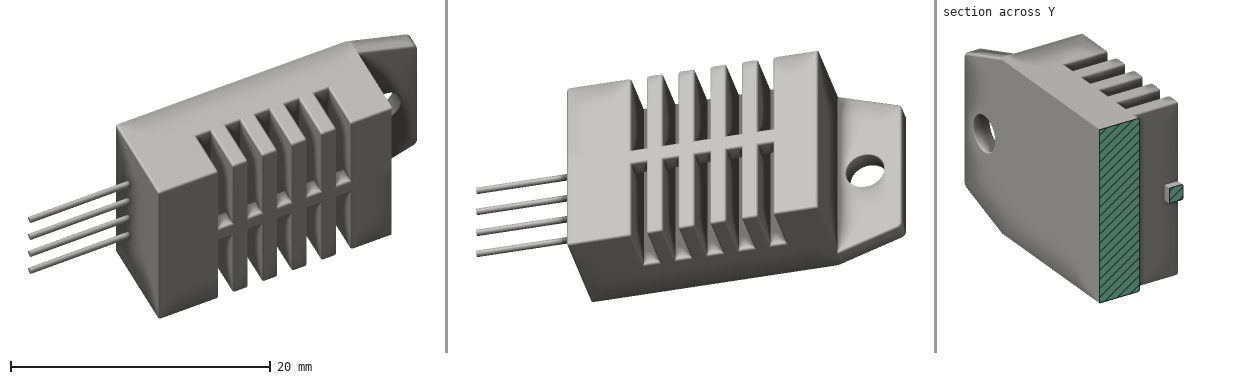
import cadquery as cq

HOUSING_DEPTH = 7.7
HOUSING_LENGTH = 20.0
HOUSING_HEIGHT = 15.1
EDGE_RADIUS = 0.2

TAB_LENGTH = 5.1
TAB_THICKNESS = 1.5
TAB_END_HEIGHT = 11.55
TAB_CORNER_RADIUS = 0.5
MOUNT_HOLE_DIAMETER = 3.02
MOUNT_HOLE_EDGE_RADIUS = 0.1
MOUNT_HOLE_END_DISTANCE = 2.92

SLOT_COUNT = 5
SLOT_PITCH = 2.52
SLOT_WIDTH = 1.2
SLOT_FLOOR_X = 3.7
FIRST_SLOT_END_DISTANCE = 4.15

BAR_DEPTH = 1.3
BAR_HEIGHT = 1.35

PIN_COUNT = 4
PIN_PITCH = 2.0
PIN_DIAMETER = 0.5
PIN_LENGTH = 8.5
PIN_X = 2.35

TAB_END_Y = HOUSING_LENGTH + TAB_LENGTH
HALF_HEIGHT = HOUSING_HEIGHT / 2
SLOT_DEPTH = HOUSING_DEPTH - SLOT_FLOOR_X
MOUNT_HOLE_Y = TAB_END_Y - MOUNT_HOLE_END_DISTANCE

SELECTION_MARGIN = 0.05


def make_block():
    return cq.Workplane("XY").box(
        HOUSING_DEPTH, HOUSING_LENGTH, HOUSING_HEIGHT, centered=(False, False, True)
    )


def make_tab():
    """Tapered plate with rounded corners at its free end."""
    half_end = TAB_END_HEIGHT / 2
    return (
        cq.Workplane("YZ")
        .moveTo(HOUSING_LENGTH, -HALF_HEIGHT)
        .lineTo(TAB_END_Y, -half_end)
        .lineTo(TAB_END_Y, half_end)
        .lineTo(HOUSING_LENGTH, HALF_HEIGHT)
        .close()
        .extrude(TAB_THICKNESS)
        .faces(">Y")
        .edges("|X")
        .fillet(TAB_CORNER_RADIUS)
    )


def cut_mount_hole(body):
    """Drill through the tab and round both rims of the hole."""
    hole = (
        cq.Workplane("YZ")
        .center(MOUNT_HOLE_Y, 0)
        .circle(MOUNT_HOLE_DIAMETER / 2)
        .extrude(TAB_THICKNESS)
    )
    zone_radius = MOUNT_HOLE_DIAMETER / 2 + SELECTION_MARGIN
    hole_zone = cq.selectors.BoxSelector(
        (-SELECTION_MARGIN, MOUNT_HOLE_Y - zone_radius, -zone_radius),
        (TAB_THICKNESS + SELECTION_MARGIN, MOUNT_HOLE_Y + zone_radius, zone_radius),
        boundingbox=True,
    )
    return body.cut(hole).edges(hole_zone).fillet(MOUNT_HOLE_EDGE_RADIUS)


def cut_slots(body):
    """Cut each slot through the full height, leaving the middle bar in place."""
    bar = cq.Workplane("XY").box(
        BAR_DEPTH, HOUSING_LENGTH, BAR_HEIGHT, centered=(False, False, True)
    ).translate((HOUSING_DEPTH - BAR_DEPTH, 0, 0))
    for index in range(SLOT_COUNT):
        slot_y = HOUSING_LENGTH - FIRST_SLOT_END_DISTANCE - index * SLOT_PITCH
        slot = cq.Workplane("XY").box(
            SLOT_DEPTH, SLOT_WIDTH, HOUSING_HEIGHT, centered=(False, True, True)
        ).translate((SLOT_FLOOR_X, slot_y, 0))
        body = body.cut(slot.cut(bar))
    return body


def round_block_edges(body):
    """Round the +X face and slot openings, and the top and bottom of the pin face."""
    slot_zone = cq.selectors.BoxSelector(
        (SLOT_FLOOR_X - SELECTION_MARGIN, SELECTION_MARGIN, -HOUSING_HEIGHT),
        (HOUSING_DEPTH - SELECTION_MARGIN, HOUSING_LENGTH - SELECTION_MARGIN, HOUSING_HEIGHT),
    )
    front_edges = body.faces(">X").edges()
    pin_face_edges = body.faces("<Y").edges("|X")
    slot_edges = body.faces("<Z or >Z").edges(slot_zone)
    return front_edges.add(pin_face_edges).add(slot_edges).fillet(EDGE_RADIUS)


def round_tab_edges(body):
    """Round the outline of the tab on both of its faces."""
    tab_zone = cq.selectors.BoxSelector(
        (-SELECTION_MARGIN, HOUSING_LENGTH + SELECTION_MARGIN, -HOUSING_HEIGHT),
        (TAB_THICKNESS + SELECTION_MARGIN, TAB_END_Y + SELECTION_MARGIN, HOUSING_HEIGHT),
    )
    return body.edges(tab_zone).edges("not |X").fillet(EDGE_RADIUS)


def make_housing():
    body = round_block_edges(cut_slots(make_block()))
    body = round_tab_edges(body.union(make_tab()))
    return cut_mount_hole(body)


def make_pin(index):
    pin_z = (index - (PIN_COUNT - 1) / 2) * PIN_PITCH
    return (
        cq.Workplane("XZ")
        .center(PIN_X, pin_z)
        .circle(PIN_DIAMETER / 2)
        .extrude(PIN_LENGTH)
    )


housing = make_housing()
pins = [make_pin(index) for index in range(PIN_COUNT)]

result = cq.Compound.makeCompound([housing.val(), *[pin.val() for pin in pins]])